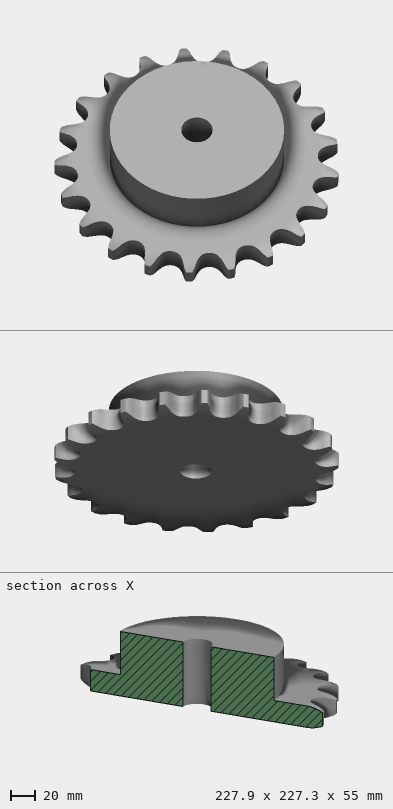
import cadquery as cq
import math

tooth_count = 21
first_tooth_angle = -90
overall_width = 227.9
pitch_diameter = 213.0
roller_diameter = 19.1
tip_half_angle = 1.1
wheel_thickness = 18.5
relief_start_radius = 99.8
hub_diameter = 140.0
total_height = 55.0
bore_diameter = 25.0

half_pitch_angle = 180 / tooth_count
pitch_radius = pitch_diameter / 2
chain_pitch = pitch_diameter * math.sin(math.radians(half_pitch_angle))
relief_radius = chain_pitch
tip_angle_off_x = half_pitch_angle / 2 - tip_half_angle
tip_radius = overall_width / 2 / math.cos(math.radians(tip_angle_off_x))

seat_radius = 0.5025 * roller_diameter
working_radius = 1.3025 * roller_diameter
seat_end_angle = 35 + 60 / tooth_count
working_sweep = 18 - 56 / tooth_count
topping_start_angle = 17 - 64 / tooth_count
straight_length = roller_diameter * (
    1.4 * math.sin(math.radians(topping_start_angle)) - 0.8 * math.sin(math.radians(working_sweep))
)
topping_radius = roller_diameter * (
    0.8 * math.cos(math.radians(working_sweep)) + 1.4 * math.cos(math.radians(topping_start_angle)) - 1.3025
)

seat_lean = seat_end_angle - half_pitch_angle
straight_lean = seat_lean - working_sweep


def step(point, distance, angle):
    """Move from a point by a distance at an angle in degrees from the X axis."""
    turn = math.radians(angle)
    return (point[0] + distance * math.cos(turn), point[1] + distance * math.sin(turn))


def rotated(point, angle):
    """Turn a point about the wheel axis by an angle in degrees."""
    radius = math.hypot(point[0], point[1])
    return step((0, 0), radius, math.degrees(math.atan2(point[1], point[0])) + angle)


def mirrored(point):
    """Reflect a point in the X axis."""
    return (point[0], -point[1])


def flank_points():
    """Points along the +Y flank of a tooth that points to +X.

    The topping curve runs on past the tip circle to an apex on the tooth centreline.
    """
    seat_centre = rotated((pitch_radius, 0), half_pitch_angle)
    seat_bottom = step(seat_centre, seat_radius, 180 + half_pitch_angle)
    seat_end = step(seat_centre, seat_radius, 270 - seat_lean)
    seat_middle = step(seat_centre, seat_radius, 225 + (half_pitch_angle - seat_lean) / 2)

    working_centre = step(seat_end, working_radius, 90 - seat_lean)
    working_middle = step(working_centre, working_radius, 270 - (seat_lean + straight_lean) / 2)
    working_end = step(working_centre, working_radius, 270 - straight_lean)
    straight_end = step(working_end, straight_length, -straight_lean)

    topping_centre = step(straight_end, topping_radius, 270 - straight_lean)
    apex_direction = math.degrees(math.asin(-topping_centre[1] / topping_radius))
    apex = step(topping_centre, topping_radius, apex_direction)
    topping_middle = step(topping_centre, topping_radius, (90 - straight_lean + apex_direction) / 2)

    return {
        "seat_bottom": seat_bottom,
        "seat_middle": seat_middle,
        "seat_end": seat_end,
        "working_middle": working_middle,
        "working_end": working_end,
        "straight_end": straight_end,
        "topping_middle": topping_middle,
        "apex": apex,
    }


def make_toothed_plate():
    """Full-thickness plate with pointed teeth, one of them along -Y."""
    flank = flank_points()
    outline = cq.Workplane("XY").moveTo(*rotated(mirrored(flank["seat_bottom"]), first_tooth_angle))
    for index in range(tooth_count):
        tooth_angle = first_tooth_angle + index * 360 / tooth_count
        far = {name: rotated(point, tooth_angle) for name, point in flank.items()}
        near = {name: rotated(mirrored(point), tooth_angle) for name, point in flank.items()}
        outline = (
            outline
            .threePointArc(near["seat_middle"], near["seat_end"])
            .threePointArc(near["working_middle"], near["working_end"])
            .lineTo(*near["straight_end"])
            .threePointArc(near["topping_middle"], near["apex"])
            .threePointArc(far["topping_middle"], far["straight_end"])
            .lineTo(*far["working_end"])
            .threePointArc(far["working_middle"], far["seat_end"])
            .threePointArc(far["seat_middle"], far["seat_bottom"])
        )
    return outline.close().extrude(wheel_thickness)


def make_relieved_disc():
    """Disc of the tip diameter whose rim is rounded on both faces."""
    relief_reach = tip_radius - relief_start_radius
    relief_sweep = math.degrees(math.asin(relief_reach / relief_radius))
    lower_centre = (relief_start_radius, relief_radius)
    lower_middle = step(lower_centre, relief_radius, 270 + relief_sweep / 2)
    lower_end = step(lower_centre, relief_radius, 270 + relief_sweep)
    upper_middle = (lower_middle[0], wheel_thickness - lower_middle[1])
    upper_end = (lower_end[0], wheel_thickness - lower_end[1])
    return (
        cq.Workplane("XZ")
        .lineTo(relief_start_radius, 0)
        .threePointArc(lower_middle, lower_end)
        .lineTo(*upper_end)
        .threePointArc(upper_middle, (relief_start_radius, wheel_thickness))
        .lineTo(0, wheel_thickness)
        .close()
        .revolve(360, (0, 0, 0), (0, 1, 0))
    )


wheel = make_toothed_plate().intersect(make_relieved_disc())
hub = cq.Workplane("XY").circle(hub_diameter / 2).extrude(total_height)
bore = cq.Workplane("XY").circle(bore_diameter / 2).extrude(total_height)

result = wheel.union(hub).cut(bore)